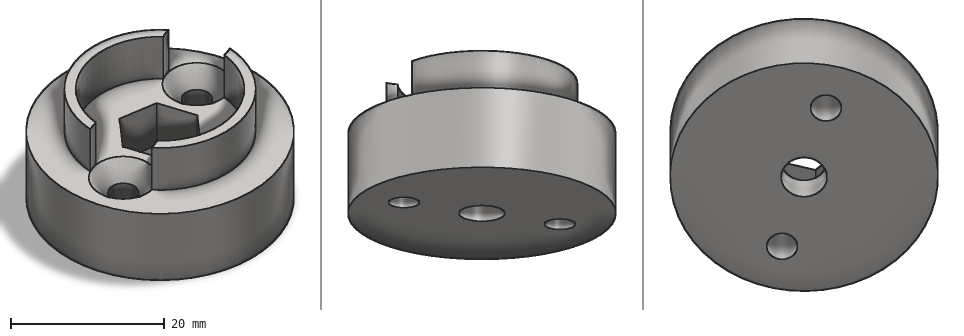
import cadquery as cq
import math

base_diameter = 35.0
total_height = 18.05
ring_height = 7.0
base_height = total_height - ring_height

ring_outer_diameter = 25.0
ring_inner_diameter = 22.0

screw_offset = 11.0
screw_diameter = 4.0
head_diameter = 9.0
countersink_angle = 90.0
countersink_depth = (head_diameter - screw_diameter) / 2 / math.tan(math.radians(countersink_angle / 2))

bolt_diameter = 6.0
hex_across_flats = 10.22
hex_across_corners = hex_across_flats / math.cos(math.radians(30))
hex_depth = 7.0


def make_body():
    base = cq.Workplane("XY").circle(base_diameter / 2).extrude(base_height)
    ring = (
        cq.Workplane("XY", origin=(0, 0, base_height))
        .circle(ring_outer_diameter / 2)
        .circle(ring_inner_diameter / 2)
        .extrude(ring_height)
    )
    return base.union(ring)


def make_screw_cutter(y):
    """Through hole, conical seat and the head clearance that interrupts the ring."""
    shaft = cq.Workplane("XY").circle(screw_diameter / 2).extrude(base_height)
    seat = (
        cq.Workplane("XY", origin=(0, 0, base_height - countersink_depth))
        .circle(screw_diameter / 2)
        .workplane(offset=countersink_depth)
        .circle(head_diameter / 2)
        .loft()
    )
    clearance = (
        cq.Workplane("XY", origin=(0, 0, base_height))
        .circle(head_diameter / 2)
        .extrude(ring_height)
    )
    return shaft.union(seat).union(clearance).translate((0, y, 0))


def make_bolt_cutter():
    """Through hole below a hexagonal pocket with corners on the X axis."""
    hole = cq.Workplane("XY").circle(bolt_diameter / 2).extrude(base_height)
    pocket = (
        cq.Workplane("XY", origin=(0, 0, base_height - hex_depth))
        .polygon(6, hex_across_corners)
        .extrude(hex_depth)
    )
    return hole.union(pocket)


result = make_body().cut(make_bolt_cutter())
for side in (-1, 1):
    result = result.cut(make_screw_cutter(side * screw_offset))